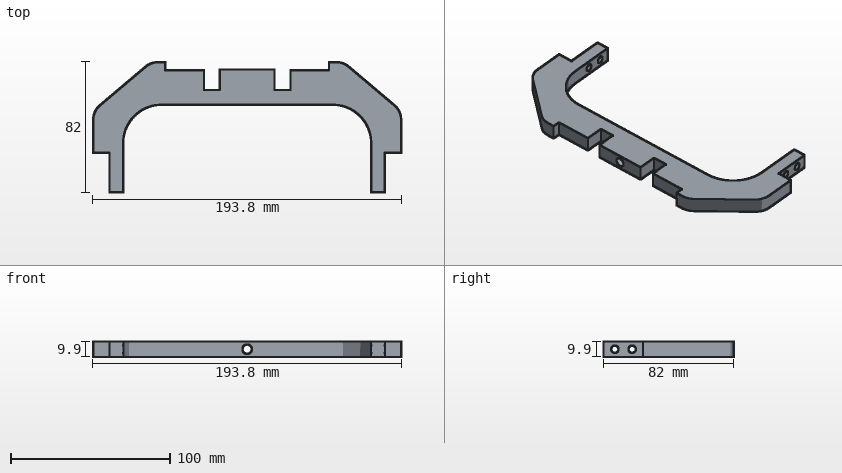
import cadquery as cq

width = 193.8
depth = 82.0
thickness = 9.9
half_width = width / 2

leg_outer_x = 86.6
leg_inner_x = 78.0
shoulder_y = 24.8
opening_top_y = 55.0
opening_radius = 24.0

slope_side_y = 51.2
slope_top_x = 60.5
outer_radius = 12.0

ear_inner_x = 51.4
ledge_y = 77.0
slot_outer_x = 27.1
slot_inner_x = 17.2
slot_floor_y = 64.5
pad_y = 77.3

center_hole_diameter = 5.8
leg_hole_diameter = 4.5
leg_hole_ys = (7.2, 18.0)
mid_z = thickness / 2


def make_body():
    """Extrude the mirrored outline, then round its upright corners."""
    right_side = [
        (leg_inner_x, opening_top_y),
        (leg_inner_x, 0),
        (leg_outer_x, 0),
        (leg_outer_x, shoulder_y),
        (half_width, shoulder_y),
        (half_width, slope_side_y),
        (slope_top_x, depth),
        (ear_inner_x, depth),
        (ear_inner_x, ledge_y),
        (slot_outer_x, ledge_y),
        (slot_outer_x, slot_floor_y),
        (slot_inner_x, slot_floor_y),
        (slot_inner_x, pad_y),
    ]
    left_side = [(-x, y) for x, y in reversed(right_side)]
    body = cq.Workplane("XY").polyline(right_side + left_side).close().extrude(thickness)

    def upright_edges(points):
        selector = cq.selectors.NearestToPointSelector
        edges = [body.edges("|Z").edges(selector((x, y, mid_z))).val() for x, y in points]
        return body.newObject(edges)

    def both_sides(x, y):
        return [(x, y), (-x, y)]

    outer_corners = both_sides(half_width, slope_side_y) + both_sides(slope_top_x, depth)
    body = upright_edges(outer_corners).fillet(outer_radius)
    return upright_edges(both_sides(leg_inner_x, opening_top_y)).fillet(opening_radius)


def center_hole():
    """Hole along Y through the middle of the crossbar."""
    hole = cq.Workplane("XZ").center(0, mid_z).circle(center_hole_diameter / 2)
    return hole.extrude(-depth)


def leg_holes():
    """Pairs of holes along X through both legs."""
    centers = [(y, mid_z) for y in leg_hole_ys]
    holes = cq.Workplane("YZ").pushPoints(centers).circle(leg_hole_diameter / 2)
    return holes.extrude(half_width, both=True)


result = make_body().cut(center_hole()).cut(leg_holes())